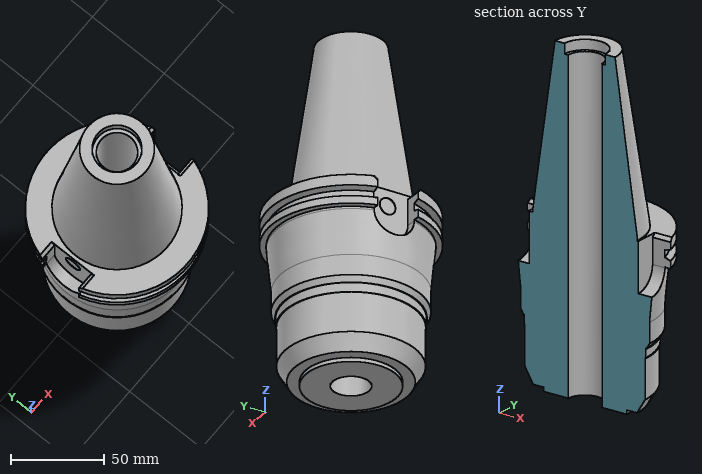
import cadquery as cq

total_height = 205.5
flange_top = 102.5
flange_bottom = 85.1
gauge_height = 103.6

gauge_radius = 35.0
taper_rate = 7 / 24
shank_end_radius = gauge_radius - (total_height - gauge_height) * taper_rate / 2

flange_radius = 49.25
groove_floor_radius = 45.5
groove_bottom = 89.6
groove_top = 96.2
groove_bevel = 1.2

body_top_radius = 45.6
body_top = 83.9
body_radius = 43.0
body_taper_end = 57.4
shoulder_top = 44.8
shoulder_end_radius = 41.0
collar_top = 41.3
collar_radius = 40.5
nose_top = 35.8
nose_radius = 40.0
nose_chamfer_top = 11.7
nose_end_radius = 34.5
boss_height = 2.5
boss_radius = 27.8

bore_radius = 11.0
counterbore_radius = 13.4
counterbore_depth = 6.2

left_slot_floor = 37.2
right_slot_floor = 35.5
slot_half_width = 12.7
slot_center_height = 85.0
slot_chamfer = 2.0
slot_outer_reach = flange_radius + 2.0

mark_radius = 5.0
mark_depth = 0.2
mark_height = 92.7


def revolved_body():
    outline = [
        (0, 0),
        (boss_radius, 0),
        (boss_radius, boss_height),
        (nose_end_radius, boss_height),
        (nose_radius, nose_chamfer_top),
        (nose_radius, nose_top),
        (collar_radius, nose_top),
        (collar_radius, collar_top),
        (shoulder_end_radius, collar_top),
        (body_radius, shoulder_top),
        (body_radius, body_taper_end),
        (body_top_radius, body_top),
        (body_top_radius, flange_bottom),
        (flange_radius, flange_bottom),
        (flange_radius, groove_bottom),
        (groove_floor_radius, groove_bottom + groove_bevel),
        (groove_floor_radius, groove_top - groove_bevel),
        (flange_radius, groove_top),
        (flange_radius, flange_top),
        (gauge_radius, flange_top),
        (gauge_radius, gauge_height),
        (shank_end_radius, total_height),
        (0, total_height),
    ]
    return cq.Workplane("XZ").polyline(outline).close().revolve(360, (0, 0), (0, 1))


def axial_bore():
    bore = cq.Workplane("XY").circle(bore_radius).extrude(total_height)
    counterbore = (
        cq.Workplane("XY", origin=(0, 0, total_height - counterbore_depth))
        .circle(counterbore_radius)
        .extrude(counterbore_depth)
    )
    return bore.union(counterbore)


def drive_slot(floor):
    """Round-ended slot facing +X, with a chamfered upper mouth."""
    mouth_half_width = slot_half_width + slot_chamfer
    return (
        cq.Workplane("YZ", origin=(floor, 0, 0))
        .moveTo(-slot_half_width, slot_center_height)
        .threePointArc(
            (0, slot_center_height - slot_half_width),
            (slot_half_width, slot_center_height),
        )
        .lineTo(slot_half_width, flange_top - slot_chamfer)
        .lineTo(mouth_half_width, flange_top)
        .lineTo(-mouth_half_width, flange_top)
        .lineTo(-slot_half_width, flange_top - slot_chamfer)
        .close()
        .extrude(slot_outer_reach - floor)
    )


def round_mark():
    """Disc that sinks into the -X slot floor."""
    return (
        cq.Workplane("YZ", origin=(-left_slot_floor, 0, mark_height))
        .circle(mark_radius)
        .extrude(mark_depth)
    )


left_slot = drive_slot(left_slot_floor).rotate((0, 0, 0), (0, 0, 1), 180)
right_slot = drive_slot(right_slot_floor)

result = revolved_body()
for cutter in (axial_bore(), left_slot, right_slot, round_mark()):
    result = result.cut(cutter)